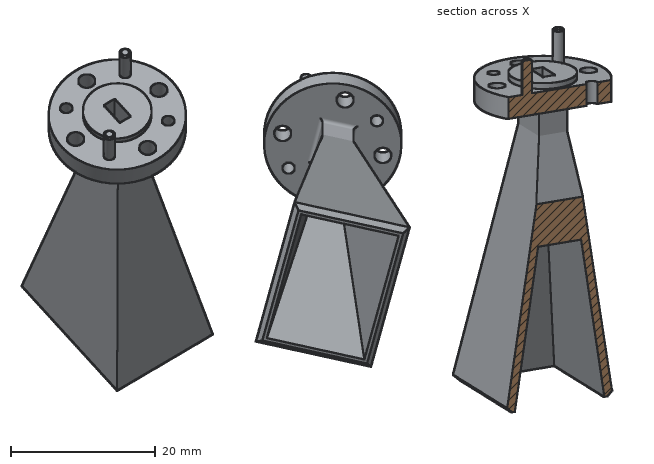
import cadquery as cq
import math

GUIDE_X = 3.76
GUIDE_Y = 1.88
WALL = 1.27
NECK_X = GUIDE_X + 2 * WALL
NECK_Y = GUIDE_Y + 2 * WALL

MOUTH_X = 22.4
MOUTH_Y = 16.45
MOUTH_CHAMFER = 0.75

FLANGE_DIAMETER = 19.05
BOSS_DIAMETER = 9.525
HOLE_CIRCLE_DIAMETER = 14.29
SCREW_HOLE_DIAMETER = 2.35
PIN_HOLE_DIAMETER = 1.7
PIN_DIAMETER = 1.6
PIN_CHAMFER = 0.25
NECK_FILLET = 0.5

TOTAL_HEIGHT = 51.23
NECK_LENGTH = 4.0
FLANGE_THICKNESS = 3.25
BOSS_HEIGHT = 0.85
PIN_HEIGHT = 4.95
FLANGE_TOP_Z = TOTAL_HEIGHT - PIN_HEIGHT
FLANGE_BOTTOM_Z = FLANGE_TOP_Z - FLANGE_THICKNESS
HORN_TOP_Z = FLANGE_BOTTOM_Z - NECK_LENGTH

SCREW_ANGLES = (0, 90, 180, 270)
PIN_HOLE_ANGLES = (45, 225)
PIN_ANGLES = (135, 315)


def on_hole_circle(angles):
    """Points on the hole circle at the given angles in degrees."""
    radius = HOLE_CIRCLE_DIAMETER / 2
    return [
        (radius * math.cos(math.radians(angle)), radius * math.sin(math.radians(angle)))
        for angle in angles
    ]


def at_height(z):
    """Horizontal workplane at height z."""
    return cq.Workplane("XY").workplane(offset=z)


def pyramid(bottom_x, bottom_y, bottom_z, top_x, top_y, top_z):
    """Four-sided frustum centred on the Z axis."""
    return (
        at_height(bottom_z)
        .rect(bottom_x, bottom_y)
        .workplane(offset=top_z - bottom_z)
        .rect(top_x, top_y)
        .loft(ruled=True)
    )


def make_horn():
    """Solid horn: bevelled mouth edge below the long flare."""
    lip = pyramid(
        MOUTH_X - 2 * MOUTH_CHAMFER, MOUTH_Y - 2 * MOUTH_CHAMFER, 0,
        MOUTH_X, MOUTH_Y, MOUTH_CHAMFER,
    )
    flare = pyramid(MOUTH_X, MOUTH_Y, MOUTH_CHAMFER, NECK_X, NECK_Y, HORN_TOP_Z)
    return lip.union(flare)


def make_neck_and_flange():
    """Neck blended into the underside of the flange, with the boss on top."""
    neck = at_height(HORN_TOP_Z).rect(NECK_X, NECK_Y).extrude(NECK_LENGTH)
    flange = at_height(FLANGE_BOTTOM_Z).circle(FLANGE_DIAMETER / 2).extrude(FLANGE_THICKNESS)
    joint = cq.selectors.BoxSelector(
        (-NECK_X, -NECK_Y, FLANGE_BOTTOM_Z - NECK_FILLET),
        (NECK_X, NECK_Y, FLANGE_BOTTOM_Z + NECK_FILLET),
    )
    body = neck.union(flange).edges(joint).edges("%LINE").fillet(NECK_FILLET)
    boss = at_height(FLANGE_TOP_Z).circle(BOSS_DIAMETER / 2).extrude(BOSS_HEIGHT)
    return body.union(boss)


def flange_drills(angles, diameter):
    """Cutters for plain holes through the flange at the given angles."""
    return (
        at_height(FLANGE_BOTTOM_Z)
        .pushPoints(on_hole_circle(angles))
        .circle(diameter / 2)
        .extrude(FLANGE_THICKNESS)
    )


def make_pins():
    """Alignment pins, seated through the flange and bevelled at the tip."""
    return (
        at_height(FLANGE_BOTTOM_Z)
        .pushPoints(on_hole_circle(PIN_ANGLES))
        .circle(PIN_DIAMETER / 2)
        .extrude(FLANGE_THICKNESS + PIN_HEIGHT)
        .faces(">Z")
        .edges()
        .chamfer(PIN_CHAMFER)
    )


def make_passage():
    """Straight waveguide opening into a flared cavity of the horn."""
    guide_length = TOTAL_HEIGHT - HORN_TOP_Z
    guide = at_height(HORN_TOP_Z).rect(GUIDE_X, GUIDE_Y).extrude(guide_length)
    cavity = pyramid(
        MOUTH_X - 2 * WALL, MOUTH_Y - 2 * WALL, 0,
        GUIDE_X, GUIDE_Y, HORN_TOP_Z,
    )
    return guide.union(cavity)


result = (
    make_horn()
    .union(make_neck_and_flange())
    .cut(flange_drills(SCREW_ANGLES, SCREW_HOLE_DIAMETER))
    .cut(flange_drills(PIN_HOLE_ANGLES, PIN_HOLE_DIAMETER))
    .union(make_pins())
    .cut(make_passage())
)